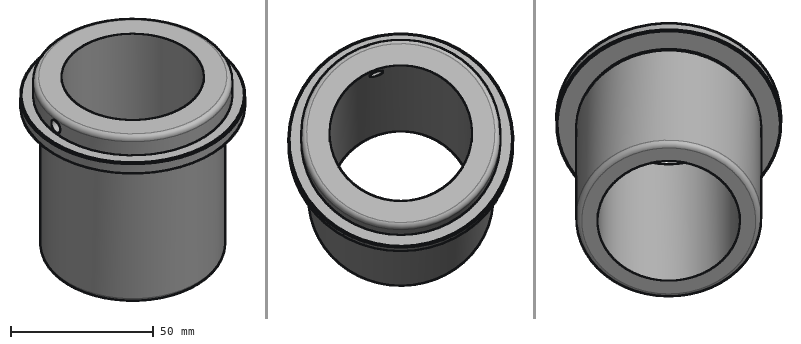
import cadquery as cq
import math

height = 75.0
flange_diameter = 79.0
collar_diameter = 70.0
body_diameter = 65.0
bore_diameter = 50.0
collar_height = 8.0
flange_thickness = 5.0
edge_round = 2.0
flange_chamfer = 0.5
neck_height = 2.1
neck_depth = 0.9
hole_diameter = 5.0
hole_drop = 5.0

flange_top = height - collar_height
flange_bottom = flange_top - flange_thickness


def cylinder(diameter, bottom, top):
    return cq.Workplane("XY").workplane(offset=bottom).circle(diameter / 2).extrude(top - bottom)


body = cylinder(body_diameter, 0, flange_bottom).faces("<Z").edges().fillet(edge_round)
flange = cylinder(flange_diameter, flange_bottom, flange_top).edges().chamfer(flange_chamfer)
collar = cylinder(collar_diameter, flange_top, height).faces(">Z").edges().fillet(edge_round)

neck_arc_radius = (neck_height**2 + neck_depth**2) / (2 * neck_depth)
neck_angle = math.asin(neck_height / neck_arc_radius)
neck_radius = body_diameter / 2 - neck_depth
arc_middle = (
    neck_radius + neck_arc_radius * (1 - math.cos(neck_angle / 2)),
    flange_bottom - neck_arc_radius * math.sin(neck_angle / 2),
)
neck_cut = (
    cq.Workplane("XZ")
    .moveTo(neck_radius, flange_bottom)
    .threePointArc(arc_middle, (body_diameter / 2, flange_bottom - neck_height))
    .lineTo(body_diameter / 2, flange_bottom)
    .close()
    .revolve(360, (0, 0, 0), (0, 1, 0))
)
body = body.cut(neck_cut)

bore = cylinder(bore_diameter, 0, height)

radial_hole = (
    cq.Workplane("XZ")
    .center(0, height - hole_drop)
    .circle(hole_diameter / 2)
    .extrude(flange_diameter / 2)
)

result = body.union(flange).union(collar).cut(bore).cut(radial_hole)